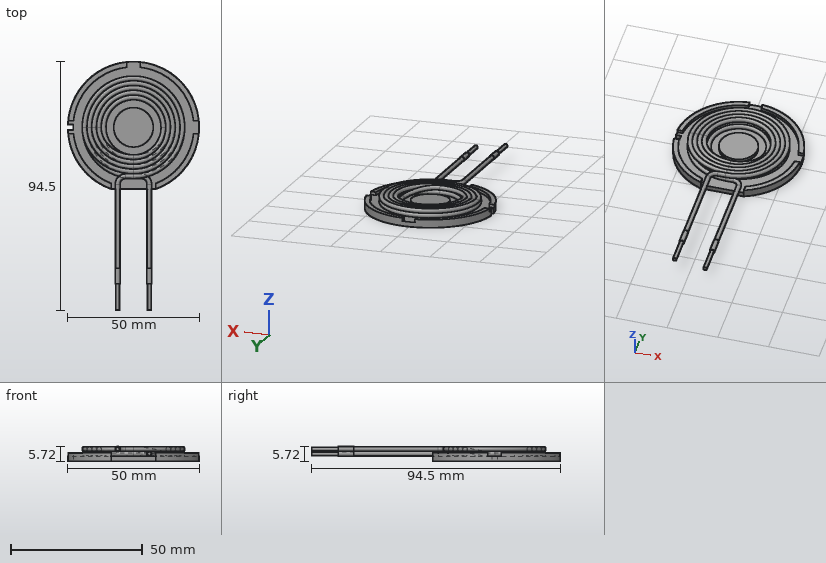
import cadquery as cq
import math

plate_diameter = 50.0
floor_thickness = 2.0
rim_height = 1.2
rim_inner_diameter = 45.9
hub_diameter = 15.0
rim_gap_width = 5.0
lead_opening_width = 17.0
notch_width = 2.0

wire_diameter = 1.8
sleeve_diameter = 2.0
tip_diameter = 1.5
turn_gap = 0.02
turn_count = 5
coil_outer_diameter = 39.0
lead_spacing = 12.0
bend_radius = 2.9
sleeve_length = 6.0
tip_length = 10.0
overall_length = 94.5
drop_steps = 8

plate_radius = plate_diameter / 2
rim_inner_radius = rim_inner_diameter / 2
plate_height = floor_thickness + rim_height
flat_y = -math.sqrt(plate_radius**2 - (lead_opening_width / 2) ** 2)

pitch = wire_diameter + turn_gap
turn_radii = [(coil_outer_diameter - wire_diameter) / 2 - pitch * turn for turn in range(turn_count)]
outer_turn = turn_radii[0]
inner_turn = turn_radii[-1]
lower_z = floor_thickness + wire_diameter / 2
upper_z = lower_z + pitch
lead_x = lead_spacing / 2
lead_end_y = plate_radius - overall_length
tip_start_y = lead_end_y + tip_length
sleeve_start_y = tip_start_y + sleeve_length


def cylinder(diameter, height, base_z):
    return cq.Workplane("XY").workplane(offset=base_z).circle(diameter / 2).extrude(height)


def box(size_x, size_y, height, center_x, center_y, base_z):
    blank = cq.Workplane("XY").box(size_x, size_y, height, centered=(True, True, False))
    return blank.translate((center_x, center_y, base_z))


def make_plate():
    plate = cylinder(plate_diameter, plate_height, 0)
    plate = plate.cut(cylinder(rim_inner_diameter, rim_height, floor_thickness))

    for gap_x, gap_y in [(plate_radius, 0), (0, plate_radius), (-plate_radius, 0)]:
        size_x = plate_radius if gap_x else rim_gap_width
        size_y = plate_radius if gap_y else rim_gap_width
        plate = plate.cut(box(size_x, size_y, rim_height, gap_x, gap_y, floor_thickness))
    plate = plate.cut(
        box(lead_opening_width, plate_radius, rim_height, 0, -plate_radius, floor_thickness)
    )

    plate = plate.cut(box(plate_diameter, plate_radius, plate_height, 0, flat_y - plate_radius / 2, 0))

    notch_depth = plate_radius - rim_inner_radius
    plate = plate.cut(box(2 * notch_depth, notch_width, plate_height, -plate_radius, 0, 0))
    return plate.union(cylinder(hub_diameter, rim_height, floor_thickness))


def turn_arc(radius, z, start, end):
    """Counterclockwise arc of a turn, angles in degrees from +X."""
    return cq.Edge.makeCircle(radius, cq.Vector(0, 0, z), cq.Vector(0, 0, 1), start, end)


def shift_arc(x_radius, y_radius, z, start):
    """Quarter ellipse that leads from one turn radius to the next."""
    return cq.Edge.makeEllipse(
        x_radius, y_radius, cq.Vector(0, 0, z), angle1=start, angle2=start + 90
    )


def lead_path(side, z):
    """Straight run, bend and lead from the outer turn at -Y; side is -1 for -X, +1 for +X."""
    run_end_x = side * (lead_x - bend_radius)
    bend_center_y = -outer_turn - bend_radius
    bend_mid = cq.Vector(
        run_end_x + side * bend_radius * math.sqrt(0.5),
        bend_center_y + bend_radius * math.sqrt(0.5),
        z,
    )
    turn_end = cq.Vector(0, -outer_turn, z)
    run_end = cq.Vector(run_end_x, -outer_turn, z)
    bend_end = cq.Vector(side * lead_x, bend_center_y, z)
    return [
        cq.Edge.makeLine(turn_end, run_end),
        cq.Edge.makeThreePointArc(run_end, bend_mid, bend_end),
        cq.Edge.makeLine(bend_end, cq.Vector(side * lead_x, sleeve_start_y, z)),
    ]


def drop_curve():
    """Quarter turn of the inner turn, from -Y in the upper layer to +X in the lower one."""
    fractions = [step / drop_steps for step in range(drop_steps + 1)]
    points = []
    for fraction in fractions:
        angle = math.pi / 2 * (fraction - 1)
        z = lower_z + pitch * (1 + math.cos(math.pi * fraction)) / 2
        points.append(cq.Vector(inner_turn * math.cos(angle), inner_turn * math.sin(angle), z))

    quarter_length = math.pi / 2 * inner_turn
    tangents = [cq.Vector(quarter_length, 0, 0), cq.Vector(0, quarter_length, 0)]
    return cq.Edge.makeSpline(points, tangents=tangents, parameters=fractions, scale=False)


def upper_path():
    """Upper lead, upper turns stepping inward from -X to -Y, and the drop to the lower layer."""
    path = lead_path(-1, upper_z)
    for radius, next_radius in zip(turn_radii, turn_radii[1:]):
        path.append(turn_arc(radius, upper_z, -90, 180))
        path.append(shift_arc(radius, next_radius, upper_z, 180))
    return path + [drop_curve()]


def lower_path():
    """Lower lead, lower turns stepping between radii from -Y to +X, and the innermost turn."""
    path = lead_path(1, lower_z)
    for radius, next_radius in zip(turn_radii, turn_radii[1:]):
        path.append(turn_arc(radius, lower_z, 0, 270))
        path.append(shift_arc(radius, next_radius, lower_z, 270))
    return path + [turn_arc(inner_turn, lower_z, 0, 270)]


def make_wire():
    """The whole wire, swept from the upper lead through both layers to the lower lead."""
    path = cq.Wire.assembleEdges(upper_path() + lower_path())
    start = cq.Workplane("XZ", origin=(-lead_x, sleeve_start_y, upper_z))
    return start.circle(wire_diameter / 2).sweep(cq.Workplane(path))


def lead_end(side, z):
    """Sleeve and bare tip at the end of a lead."""
    sleeve = cq.Workplane("XZ", origin=(side * lead_x, sleeve_start_y, z))
    sleeve = sleeve.circle(sleeve_diameter / 2).extrude(sleeve_length)
    tip = cq.Workplane("XZ", origin=(side * lead_x, tip_start_y, z))
    return sleeve.union(tip.circle(tip_diameter / 2).extrude(tip_length))


def make_coil():
    return make_wire().union(lead_end(-1, upper_z)).union(lead_end(1, lower_z))


plate = make_plate().solids()
coil = make_coil().solids()
result = cq.Compound.makeCompound([plate.val(), coil.val()])